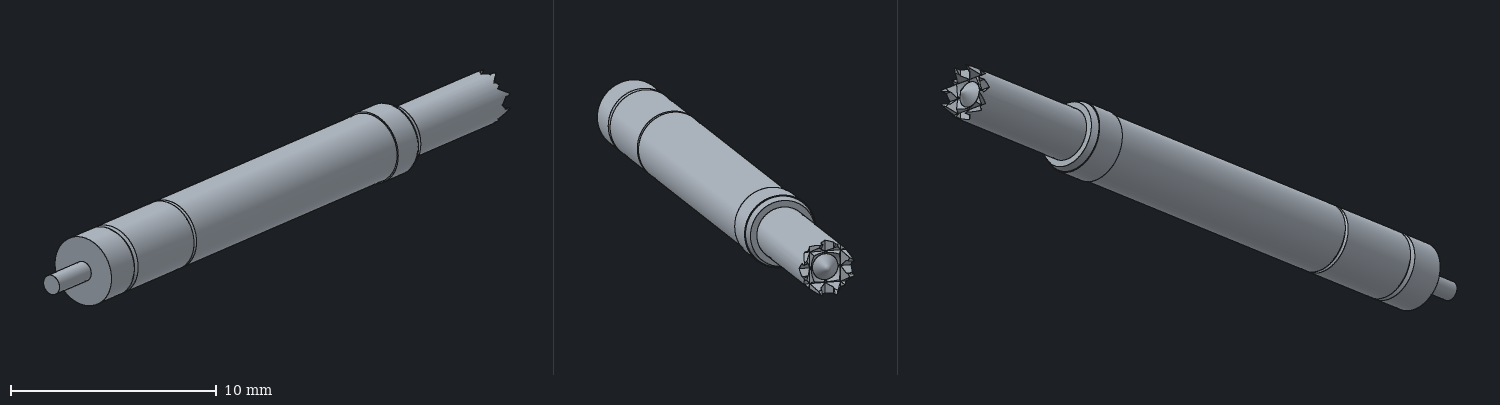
import cadquery as cq
import math

total_length = 34.5
plunger_diameter = 2.65
plunger_length = 7.5
nose_front_diameter = 3.3
nose_rear_diameter = 3.55
nose_length = 0.4
collar_diameter = 3.65
collar_length = 1.6
body_diameter = 3.5
tail_diameter = 1.0
tail_length = 2.5

rear_groove_distance = 29.9
rear_groove_width = 0.3
front_groove_distance = 25.3
front_groove_width = 0.2
groove_depth = 0.15
groove_valley_setback = 0.1

crown_depth = 0.65
valley_radius = 0.65
side_groove_offset = 0.79
side_groove_angle = 60.0
rim_notch_width = 0.64
quadrant_count = 4

tip_y = 0.0
nose_front_y = tip_y - plunger_length
collar_front_y = nose_front_y - nose_length
collar_rear_y = collar_front_y - collar_length
tail_end_y = tip_y - total_length
body_rear_y = tail_end_y + tail_length


def cylinder(diameter, front_y, rear_y):
    """Solid cylinder on the Y axis between two stations."""
    disc = cq.Workplane("XZ", origin=(0, front_y, 0)).circle(diameter / 2)
    return disc.extrude(front_y - rear_y)


def revolve_about_axis(outline):
    """Full turn of a closed XY outline around the Y axis."""
    return outline.close().revolve(360, (0, 0, 0), (0, 1, 0))


def make_nose():
    """Tapered nose in front of the collar."""
    outline = cq.Workplane("XY").moveTo(0, nose_front_y).lineTo(nose_front_diameter / 2, nose_front_y)
    outline = outline.lineTo(nose_rear_diameter / 2, collar_front_y).lineTo(0, collar_front_y)
    return revolve_about_axis(outline)


def make_body():
    """Nose, collar, barrel and tail stacked along the axis."""
    nose = make_nose()
    collar = cylinder(collar_diameter, collar_front_y, collar_rear_y)
    barrel = cylinder(body_diameter, collar_rear_y, body_rear_y)
    tail = cylinder(tail_diameter, body_rear_y, tail_end_y)
    return nose.union(collar).union(barrel).union(tail)


def make_groove(distance, width):
    """V-section ring cut into the barrel."""
    front_y = tip_y - distance
    radius = body_diameter / 2
    outline = cq.Workplane("XY").moveTo(radius, front_y)
    outline = outline.lineTo(radius - groove_depth, front_y - groove_valley_setback)
    outline = outline.lineTo(radius, front_y - width)
    return revolve_about_axis(outline)


def make_annular_groove():
    """V-section ring that leaves a central cone inside a sharp rim."""
    outline = cq.Workplane("XY").moveTo(0, tip_y)
    outline = outline.lineTo(valley_radius, tip_y - crown_depth)
    outline = outline.lineTo(plunger_diameter / 2, tip_y)
    return revolve_about_axis(outline)


def make_side_groove():
    """V-section bar along Z, offset to one side of the axis."""
    half_width = crown_depth * math.tan(math.radians(side_groove_angle / 2))
    profile = cq.Workplane("XY", origin=(side_groove_offset, tip_y, -plunger_diameter))
    profile = profile.moveTo(-half_width, 0).lineTo(0, -crown_depth).lineTo(half_width, 0).close()
    return profile.extrude(2 * plunger_diameter)


def make_rim_notch():
    """Straight-sided notch with a 90 degree pointed bottom, cut through the rim only."""
    half_width = rim_notch_width / 2
    shoulder = half_width - crown_depth
    profile = cq.Workplane("XY", origin=(0, tip_y, valley_radius))
    profile = profile.moveTo(-half_width, 0).lineTo(-half_width, shoulder).lineTo(0, -crown_depth)
    profile = profile.lineTo(half_width, shoulder).lineTo(half_width, 0).close()
    return profile.extrude(plunger_diameter)


def make_plunger():
    """Plunger with a rim notch and a straight side groove cut in every quadrant."""
    plunger = cylinder(plunger_diameter, tip_y, nose_front_y)
    plunger = plunger.cut(make_annular_groove())
    rim_notch = make_rim_notch()
    side_groove = make_side_groove()
    for index in range(quadrant_count):
        angle = index * 360 / quadrant_count
        for cutter in (rim_notch, side_groove):
            plunger = plunger.cut(cutter.rotate((0, 0, 0), (0, 1, 0), angle))
    return plunger


result = make_body().union(make_plunger())
result = result.cut(make_groove(rear_groove_distance, rear_groove_width))
result = result.cut(make_groove(front_groove_distance, front_groove_width))